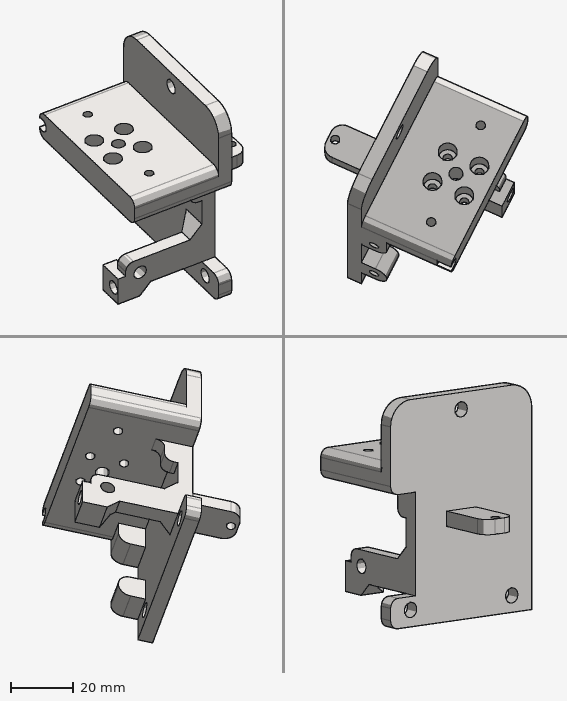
import cadquery as cq

OVERLAP = 0.75

width = 57.3
height = 74.5
thickness = 5.0
body_width = 47.25
foot_height = 10.0
top_radius = 8.05
edge_radius = 3.0
mount_hole_diameter = 4.9
mount_hole_z = 5.6
mount_hole_edge = 8.1

shelf_bottom = 44.0
shelf_height = 10.0
shelf_depth = 32.0
shelf_hole_y = -20.05
side_hole_offset = 18.5
side_hole_diameter = 3.0
center_hole_diameter = 4.4
screw_offset = 5.7
screw_diameter = 3.0
counterbore_diameter = 6.0
counterbore_depth = 5.95

pocket_diameter = 4.7
pocket_depth = 5.1
shelf_pocket_x = 1.6
catch_pocket_x = 44.5

lug_width = 9.2
lug_depth = 9.0
lug_radius = 4.0
pin_y = -4.5
pin_diameter = 3.2
pin_depth = 7.45
upper_lug_bottom = 35.1
lower_lug_bottom = 9.8
upper_pin_z = 39.4
lower_pin_z = 14.4

stop_bottom = 34.7
stop_depth = 4.5

arm_thickness = 4.9
arm_left = body_width - arm_thickness
arm_bottom = foot_height
arm_top = 20.7
arm_length = 29.1
arm_hole_y = -23.55
arm_hole_z = 15.35
arm_hole_diameter = 4.7
root_flare = 4.55
catch_left = 38.15
catch_bottom = 5.8
catch_height = 10.1
catch_back_y = -23.7
catch_top_back_y = -26.8
catch_root_y = -21.3

tab_width = 11.9
tab_length = 20.4
tab_bottom = 31.3
tab_height = 5.0
tab_radius = 4.0
tab_hole_diameter = 2.9
tab_hole_inset = 2.4

mid_x = width / 2


def box(x0, x1, y0, y1, z0, z1):
    """Box between two corners."""
    return cq.Workplane("XY").box(x1 - x0, y1 - y0, z1 - z0, centered=False).translate((x0, y0, z0))


def cylinder(center, diameter, length, direction):
    """Cylinder starting at a point and running along a direction."""
    solid = cq.Solid.makeCylinder(diameter / 2, length, cq.Vector(*center), cq.Vector(*direction))
    return cq.Workplane(solid)


def side_prism(points, x0, x1):
    """Prism along X from a (Y, Z) outline."""
    return cq.Workplane("YZ").polyline(points).close().extrude(x1 - x0).translate((x0, 0, 0))


def plan_prism(points, z0, z1):
    """Prism along Z from an (X, Y) outline."""
    return cq.Workplane("XY").polyline(points).close().extrude(z1 - z0).translate((0, 0, z0))


def make_plate():
    head = box(0, width, 0, thickness, shelf_bottom, height)
    head = head.edges("|Y and >Z").fillet(top_radius)
    head = head.edges("|Y and >X and <Z").fillet(edge_radius)
    body = box(0, body_width, 0, thickness, 0, shelf_bottom + OVERLAP)
    foot = box(0, width, 0, thickness, 0, foot_height).edges("|Y and >X").fillet(edge_radius)
    plate = head.union(body).union(foot)
    hole_places = (
        (mid_x, height - mount_hole_z),
        (mount_hole_edge, mount_hole_z),
        (width - mount_hole_edge, mount_hole_z),
    )
    for x, z in hole_places:
        plate = plate.cut(cylinder((x, 0, z), mount_hole_diameter, thickness, (0, 1, 0)))
    return plate


def make_shelf():
    shelf = box(0, width, -shelf_depth, OVERLAP, shelf_bottom, shelf_bottom + shelf_height)
    return shelf.edges("|Y").fillet(edge_radius)


def cut_shelf_holes(part):
    top = shelf_bottom + shelf_height
    down = (0, 0, -1)
    through_holes = (
        (mid_x, center_hole_diameter),
        (mid_x - side_hole_offset, side_hole_diameter),
        (mid_x + side_hole_offset, side_hole_diameter),
    )
    for x, diameter in through_holes:
        part = part.cut(cylinder((x, shelf_hole_y, top), diameter, shelf_height, down))
    for side in (-1, 1):
        for row in (-1, 1):
            place = (mid_x + side * screw_offset, shelf_hole_y + row * screw_offset, top)
            part = part.cut(cylinder(place, screw_diameter, shelf_height, down))
            part = part.cut(cylinder(place, counterbore_diameter, counterbore_depth, down))
    return part


def make_upper_lug():
    lug_top = shelf_bottom + edge_radius + OVERLAP
    lug = box(0, lug_width, -lug_depth, OVERLAP, upper_lug_bottom, lug_top)
    return lug.edges("|X and <Y and <Z").fillet(lug_radius)


def make_lower_lug():
    lug = box(0, lug_width, -lug_depth, OVERLAP, lower_lug_bottom, lower_lug_bottom + lug_width)
    return lug.edges("|X and <Y").fillet(lug_radius)


def make_stop():
    stop = box(arm_left, body_width, -stop_depth, OVERLAP, stop_bottom, shelf_bottom + OVERLAP)
    stop = stop.edges("|X and <Y and <Z").fillet(edge_radius)
    fillet_front = -stop_depth - edge_radius
    fillet_bottom = shelf_bottom - edge_radius
    fillet_top = shelf_bottom + OVERLAP
    fillet = box(arm_left, body_width, fillet_front, OVERLAP - stop_depth, fillet_bottom, fillet_top)
    hollow = cylinder((arm_left, fillet_front, fillet_bottom), 2 * edge_radius, arm_thickness, (1, 0, 0))
    return stop.union(fillet.cut(hollow))


def make_arm():
    arm = box(arm_left, body_width, -arm_length, OVERLAP, arm_bottom, arm_top)
    arm = arm.edges("|X and <Y and >Z").fillet(edge_radius)
    flare_left = arm_left - root_flare
    root = side_prism(
        [(0, arm_bottom), (0, arm_top + root_flare), (-root_flare, arm_top), (-root_flare, arm_bottom)],
        flare_left,
        body_width,
    )
    root_plan = plan_prism(
        [(flare_left, 0), (arm_left, -root_flare), (body_width, -root_flare), (body_width, 0)],
        arm_bottom,
        arm_top + root_flare,
    )
    return arm.union(root.intersect(root_plan))


def make_catch():
    top = catch_bottom + catch_height
    tip_rise = (catch_height - (catch_back_y - catch_top_back_y)) / 2
    block = side_prism(
        [
            (-shelf_depth, catch_bottom),
            (-shelf_depth, top),
            (catch_top_back_y, top),
            (catch_back_y + tip_rise, catch_bottom + tip_rise),
            (catch_back_y, catch_bottom),
        ],
        catch_left,
        body_width,
    )
    block_plan = plan_prism(
        [
            (catch_left, -shelf_depth),
            (body_width, -shelf_depth),
            (body_width, catch_root_y),
            (arm_left, catch_root_y),
            (catch_left, catch_back_y),
        ],
        catch_bottom,
        top,
    )
    slope_rise = arm_bottom + OVERLAP - catch_bottom
    brace = side_prism(
        [
            (catch_top_back_y, catch_bottom),
            (catch_top_back_y, catch_bottom + slope_rise),
            (catch_back_y + slope_rise, catch_bottom + slope_rise),
            (catch_back_y, catch_bottom),
        ],
        arm_left,
        body_width,
    )
    return block.intersect(block_plan).union(brace)


def make_tab():
    tab = box(
        mid_x - tab_width / 2,
        mid_x + tab_width / 2,
        thickness - OVERLAP,
        thickness + tab_length,
        tab_bottom,
        tab_bottom + tab_height,
    )
    tab = tab.edges("|Z and >Y").fillet(tab_radius)
    hole_y = thickness + tab_length - tab_hole_inset
    return tab.cut(cylinder((mid_x, hole_y, tab_bottom), tab_hole_diameter, tab_height, (0, 0, 1)))


result = make_plate().union(make_shelf())
for feature in (make_upper_lug(), make_lower_lug(), make_stop(), make_arm(), make_catch(), make_tab()):
    result = result.union(feature)

result = cut_shelf_holes(result)
for pin_z in (upper_pin_z, lower_pin_z):
    result = result.cut(cylinder((0, pin_y, pin_z), pin_diameter, pin_depth, (1, 0, 0)))

shelf_pocket_z = shelf_bottom + shelf_height / 2
catch_pocket_z = catch_bottom + catch_height / 2
for x, z in ((shelf_pocket_x, shelf_pocket_z), (catch_pocket_x, catch_pocket_z)):
    result = result.cut(cylinder((x, -shelf_depth, z), pocket_diameter, pocket_depth, (0, 1, 0)))

arm_hole = cylinder((arm_left, arm_hole_y, arm_hole_z), arm_hole_diameter, arm_thickness, (1, 0, 0))
result = result.cut(arm_hole)